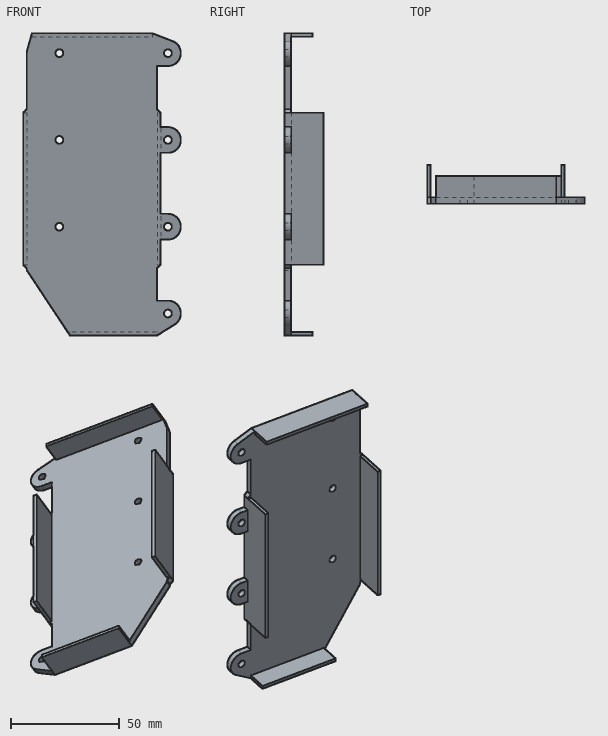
import cadquery as cq
import math

height = 139.2
plate_thickness = 3.0
wall = 1.7
wide_right = 63.3
narrow_left = wall
narrow_right = wide_right - wall
notch_height = 1.7

side_flange_depth = 18.0
end_flange_depth = 13.0
side_flange_bottom = 32.6
side_flange_length = 70.0
side_flange_top = side_flange_bottom + side_flange_length
top_edge_left = 4.0
top_edge_right = 59.5
bottom_edge_left = 21.6

top_slant_height = 8.4
top_slant_fillet = 5.0
bottom_slant_top = 30.0

hole_diameter = 3.5
hole_pitch = 40.0
lowest_hole_z = 10.2
lug_count = 4
lug_radius = 6.0
lug_x = 66.7
inner_hole_x = 16.7
lug_heights = [lowest_hole_z + i * hole_pitch for i in range(lug_count)]


def extrude_back(sketch, depth):
    """Extrude an XZ sketch from the front face toward +Y."""
    return sketch.extrude(-depth)


def tangent_point(corner_x, corner_z, lug_z, side):
    """Point where a line from a plate corner touches a lug; side is +1 above, -1 below."""
    dx = corner_x - lug_x
    dz = corner_z - lug_z
    angle = math.atan2(dz, dx) - side * math.acos(lug_radius / math.hypot(dx, dz))
    return lug_x + lug_radius * math.cos(angle), lug_z + lug_radius * math.sin(angle)


def plate_body():
    outline = [
        (bottom_edge_left, 0),
        (narrow_right, 0),
        (narrow_right, side_flange_bottom - notch_height),
        (wide_right, side_flange_bottom),
        (wide_right, side_flange_top),
        (narrow_right, side_flange_top + notch_height),
        (narrow_right, lug_heights[-1]),
        (top_edge_right, height),
        (top_edge_left, height),
        (narrow_left, height - top_slant_height),
        (narrow_left, side_flange_top + notch_height),
        (0, side_flange_top),
        (0, side_flange_bottom),
        (narrow_left, side_flange_bottom - notch_height),
        (narrow_left, bottom_slant_top),
    ]
    body = extrude_back(cq.Workplane("XZ").polyline(outline).close(), plate_thickness)
    slant_corner = cq.NearestToPointSelector((narrow_left, plate_thickness / 2, height - top_slant_height))
    return body.edges("|Y").edges(slant_corner).fillet(top_slant_fillet)


def lug(z):
    disc = extrude_back(cq.Workplane("XZ").center(lug_x, z).circle(lug_radius), plate_thickness)
    root_length = lug_x - top_edge_right
    root = extrude_back(
        cq.Workplane("XZ").center(lug_x - root_length / 2, z).rect(root_length, 2 * lug_radius),
        plate_thickness,
    )
    return disc.union(root)


def lug_web(corner_x, corner_z, lug_z, side):
    """Fill between a plate corner and an end lug along their common tangent."""
    touch = tangent_point(corner_x, corner_z, lug_z, side)
    points = [(corner_x, corner_z), touch, (lug_x, lug_z), (corner_x, lug_z)]
    return extrude_back(cq.Workplane("XZ").polyline(points).close(), plate_thickness)


def flange(x_min, x_max, z_min, z_max, depth):
    return cq.Workplane("XY").box(x_max - x_min, depth, z_max - z_min, centered=False).translate((x_min, 0, z_min))


plate = plate_body()
for lug_z in lug_heights:
    plate = plate.union(lug(lug_z))
plate = plate.union(lug_web(top_edge_right, height, lug_heights[-1], 1))
plate = plate.union(lug_web(narrow_right, 0, lug_heights[0], -1))

for x_min in (0, wide_right - wall):
    plate = plate.union(flange(x_min, x_min + wall, side_flange_bottom, side_flange_top, side_flange_depth))

top_flange = flange(top_edge_left, top_edge_right, height - wall, height, end_flange_depth)
bottom_flange = flange(bottom_edge_left, narrow_right, 0, wall, end_flange_depth)
plate = plate.union(top_flange).union(bottom_flange)

hole_centres = [(lug_x, z) for z in lug_heights]
hole_centres += [(inner_hole_x, z) for z in lug_heights[1:]]
holes = extrude_back(
    cq.Workplane("XZ").pushPoints(hole_centres).circle(hole_diameter / 2),
    plate_thickness,
)
result = plate.cut(holes)